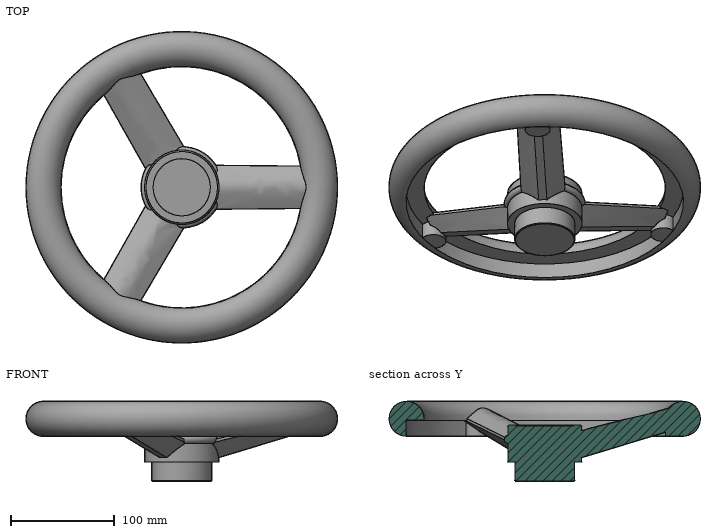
import cadquery as cq
import math

RIM_OUTER_RADIUS = 150.0
RIM_TUBE_RADIUS = 17.0
OVERALL_HEIGHT = 77.25
RIM_CENTRE_RADIUS = RIM_OUTER_RADIUS - RIM_TUBE_RADIUS
RIM_CENTRE_Z = OVERALL_HEIGHT - RIM_TUBE_RADIUS

CHANNEL_RADIUS = 133.5
CHANNEL_ROOF_Z = RIM_CENTRE_Z - 1.5

BOSS_RADIUS = 12.0
BOSS_CENTRE_RADIUS = 128.0
BOSS_BOTTOM_Z = 43.5
BOSS_EMBED = 1.0

FOOT_DIAMETER = 58.0
FOOT_HEIGHT = 18.5
FOOT_CHAMFER = 0.8
BODY_DIAMETER = 71.7
BODY_TOP_Z = 54.5
BODY_CHAMFER = 1.5
RECESS_DIAMETER = 55.0
RECESS_DEPTH = 1.0

BEAD_TUBE_RADIUS = 4.0
BEAD_CENTRE_RADIUS = 35.2
BEAD_CENTRE_Z = 40.4

SPOKE_COUNT = 3
KEEL_WIDTH = 8.0
CROWN_ROUND_RADIUS = 18.0
INNER_SECTION = {
    "radius": 36.0,
    "width": 42.5,
    "keel": 22.9,
    "side_low": 38.8,
    "side_high": 41.5,
    "crown": 49.3,
}
OUTER_SECTION = {
    "radius": 116.0,
    "width": 41.0,
    "keel": 47.2,
    "side_low": 58.2,
    "side_high": 60.9,
    "crown": 69.8,
}
SPOKE_START_RADIUS = 22.0
SPOKE_END_RADIUS = 124.0


def make_hub():
    foot = cq.Workplane("XY").circle(FOOT_DIAMETER / 2).extrude(FOOT_HEIGHT)
    foot = foot.faces("<Z").chamfer(FOOT_CHAMFER)
    body = (
        cq.Workplane("XY")
        .workplane(offset=FOOT_HEIGHT)
        .circle(BODY_DIAMETER / 2)
        .extrude(BODY_TOP_Z - FOOT_HEIGHT)
        .faces(">Z")
        .chamfer(BODY_CHAMFER)
    )
    bead = (
        cq.Workplane("XZ")
        .center(BEAD_CENTRE_RADIUS, BEAD_CENTRE_Z)
        .circle(BEAD_TUBE_RADIUS)
        .revolve(360, (-BEAD_CENTRE_RADIUS, 0, 0), (-BEAD_CENTRE_RADIUS, 1, 0))
    )
    return foot.union(body).union(bead)


def make_recess():
    return (
        cq.Workplane("XY")
        .workplane(offset=BODY_TOP_Z - RECESS_DEPTH)
        .circle(RECESS_DIAMETER / 2)
        .extrude(RECESS_DEPTH)
    )


def spoke_section_at(radius):
    """Section sizes at a distance from the axis, on the straight line through both sections."""
    span = OUTER_SECTION["radius"] - INNER_SECTION["radius"]
    share = (radius - INNER_SECTION["radius"]) / span
    return {name: start + share * (OUTER_SECTION[name] - start) for name, start in INNER_SECTION.items()}


def spoke_wire(radius):
    section = spoke_section_at(radius)
    half_width = section["width"] / 2
    half_keel = KEEL_WIDTH / 2
    arc_centre_z = section["crown"] - CROWN_ROUND_RADIUS
    edge_rise = section["side_high"] - arc_centre_z
    edge_distance = math.hypot(half_width, edge_rise)
    half_angle = math.atan2(half_width, edge_rise) - math.acos(CROWN_ROUND_RADIUS / edge_distance)
    half_round = CROWN_ROUND_RADIUS * math.sin(half_angle)
    round_z = arc_centre_z + CROWN_ROUND_RADIUS * math.cos(half_angle)
    flank_run = math.cos(half_angle)
    flank_rise = math.sin(half_angle)
    outline = (
        cq.Workplane("YZ", origin=(radius, 0, 0))
        .moveTo(-half_keel, section["keel"])
        .lineTo(half_keel, section["keel"])
        .lineTo(half_width, section["side_low"])
        .lineTo(half_width, section["side_high"])
        .spline(
            [
                (half_round, round_z),
                (0, section["crown"]),
                (-half_round, round_z),
                (-half_width, section["side_high"]),
            ],
            tangents=[(-flank_run, flank_rise), (-flank_run, -flank_rise)],
            includeCurrent=True,
        )
        .lineTo(-half_width, section["side_low"])
        .close()
    )
    return outline.val()


def make_spoke():
    wires = [spoke_wire(SPOKE_START_RADIUS), spoke_wire(SPOKE_END_RADIUS)]
    return cq.Workplane("XY").add(cq.Solid.makeLoft(wires, True))


def make_rim():
    """Round tube about the Z axis with its inner lower part cut away by the channel."""
    roof_drop = RIM_CENTRE_Z - CHANNEL_ROOF_Z
    roof_inner_radius = RIM_CENTRE_RADIUS - math.sqrt(RIM_TUBE_RADIUS**2 - roof_drop**2)
    wall_offset = CHANNEL_RADIUS - RIM_CENTRE_RADIUS
    wall_bottom_z = RIM_CENTRE_Z - math.sqrt(RIM_TUBE_RADIUS**2 - wall_offset**2)
    diagonal = RIM_TUBE_RADIUS / math.sqrt(2)
    return (
        cq.Workplane("XZ")
        .moveTo(CHANNEL_RADIUS, wall_bottom_z)
        .threePointArc(
            (RIM_CENTRE_RADIUS + diagonal, RIM_CENTRE_Z + diagonal),
            (roof_inner_radius, CHANNEL_ROOF_Z),
        )
        .lineTo(CHANNEL_RADIUS, CHANNEL_ROOF_Z)
        .close()
        .revolve(360, (0, 0, 0), (0, 1, 0))
    )


def make_boss():
    height = RIM_CENTRE_Z - BOSS_BOTTOM_Z
    boss = (
        cq.Workplane("XY", origin=(BOSS_CENTRE_RADIUS, 0, BOSS_BOTTOM_Z))
        .circle(BOSS_RADIUS)
        .extrude(height)
    )
    limit = (
        cq.Workplane("XY", origin=(0, 0, BOSS_BOTTOM_Z))
        .circle(CHANNEL_RADIUS + BOSS_EMBED)
        .extrude(height)
    )
    return boss.intersect(limit)


spoke = make_spoke().union(make_boss())
result = make_hub().union(make_rim())
for index in range(SPOKE_COUNT):
    turn = index * 360.0 / SPOKE_COUNT
    result = result.union(spoke.rotate((0, 0, 0), (0, 0, 1), turn))
result = result.cut(make_recess())